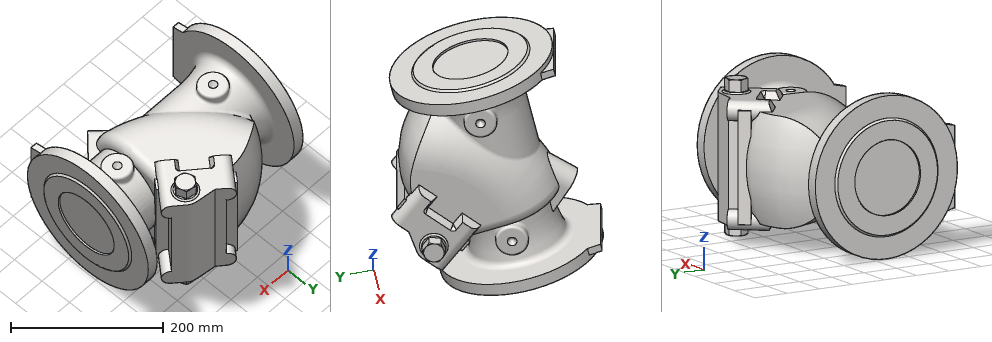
import cadquery as cq
import math

LENGTH = 300.0

FLANGE_DIA = 220.0
FLANGE_THICK = 17.0
FACE_DIA = 159.5
FACE_HEIGHT = 3.0
FACE_CHAMFER = 2.7
PORT_DIA = 101.7
PORT_DEPTH = 3.0
FOOT_THICK = 10.2
FOOT_WIDTH = 111.0
FOOT_SIDE_ANGLE = 13.0
FOOT_HEIGHT = 30.0

PIPE_RADIUS = 59.7
NECK_START = 82.5
NECK_END = 122.0
NECK_RADIUS = 65.5
FLANGE_FILLET = 10.2

BOSS_X = 91.0
BOSS_TOP = 71.0
BOSS_RADIUS = 21.5
BOSS_ROUND = 3.3
BOSS_BASE_FILLET = 3.5
BOSS_HOLE_DIA = 12.5
BOSS_HOLE_DEPTH = BOSS_HOLE_DIA / 2

SWING_X = 79.5
SWING_Y = 123.0
SWING_RADIUS = 125.7
CHAMBER_HALF = 75.5
SWEEP_START = 201.0
SWEEP_END = 265.0
WALL_FILLET = 15.0
CHAMBER_ROOT_FILLET = 6.0
CROWN_X = -7.8
CROWN_Y = 19.2
CROWN_RADIUS = 108.0
CROWN_EDGE_RADIUS = 92.5
CROWN_REACH = 90.0

BOLT_X = 65.7
BOLT_Y = 99.5
BONNET_ANGLE = -40.0
BONNET_LEFT = -67.2
BONNET_RIGHT = 34.5
BONNET_HALF = 86.7
LUG_WIDTH = 27.0
LUG_LOW_TOP = 3.0
LUG_STEP = -39.0
LUG_BOTTOM = -57.0
LUG_CHAMFER_RUN = 6.0
NOTCH_LEFT = -37.2
NOTCH_RIGHT = 3.5
NOTCH_TOP = -37.2
NOTCH_FLARE = 26.0
HINGE_RADIUS = 24.0
CORE_INSET = 13.5
JOINT_OVERHANG = 3.0
JOINT_BOTTOM = -29.0
JOINT_TOP = -12.0
JOINT_HALF = 76.8

BOLT_FLATS = 27.0
BOLT_TOP = 105.3
HEAD_TURN = 30.0
HEAD_CHAMFER_ANGLE = 30.0
WASHER_DIA = 37.8
WASHER_TOP_DIA = 32.5
WASHER_THICK = 1.8

DRAIN_TIP_X = 43.8
DRAIN_TIP_Y = -99.3
DRAIN_RADIUS = 21.3
DRAIN_ANGLE = -45.0
DRAIN_LENGTH = 60.0
DRAIN_DEPTH = 54.0

HALF_LENGTH = LENGTH / 2
FLANGE_OUTER = HALF_LENGTH - FACE_HEIGHT
FLANGE_INNER = FLANGE_OUTER - FLANGE_THICK
FLANGE_RADIUS = FLANGE_DIA / 2


def pipe_run():
    """Pipe, necks, flanges and raised faces as one turned body about X."""
    face_radius = FACE_DIA / 2
    neck_foot = NECK_RADIUS + FLANGE_FILLET
    half = (
        cq.Workplane("XY")
        .lineTo(0, PIPE_RADIUS)
        .lineTo(NECK_START, PIPE_RADIUS)
        .tangentArcPoint((NECK_END, NECK_RADIUS), relative=False)
        .tangentArcPoint((FLANGE_INNER, neck_foot), relative=False)
        .lineTo(FLANGE_INNER, FLANGE_RADIUS)
        .lineTo(FLANGE_OUTER, FLANGE_RADIUS)
        .lineTo(FLANGE_OUTER, face_radius)
        .lineTo(HALF_LENGTH, face_radius - FACE_CHAMFER)
        .lineTo(HALF_LENGTH, PORT_DIA / 2)
        .lineTo(HALF_LENGTH - PORT_DEPTH, PORT_DIA / 2)
        .lineTo(HALF_LENGTH - PORT_DEPTH, 0)
        .close()
        .revolve(360, (0, 0, 0), (1, 0, 0))
    )
    return half.union(half.mirror("YZ"))


def flange_feet():
    """Flat-bottomed foot at the inner side of each flange."""
    half_bottom = FOOT_WIDTH / 2
    half_top = half_bottom + FOOT_HEIGHT * math.tan(math.radians(FOOT_SIDE_ANGLE))
    foot = (
        cq.Workplane("YZ", origin=(FLANGE_INNER, 0, 0))
        .polyline([
            (-FLANGE_RADIUS, -half_bottom),
            (-FLANGE_RADIUS, half_bottom),
            (FOOT_HEIGHT - FLANGE_RADIUS, half_top),
            (FOOT_HEIGHT - FLANGE_RADIUS, -half_top),
        ])
        .close()
        .extrude(FOOT_THICK)
    )
    return foot.union(foot.mirror("YZ"))


def direction(angle):
    """Horizontal unit vector at an angle in degrees from +X."""
    return cq.Vector(math.cos(math.radians(angle)), math.sin(math.radians(angle)), 0)


def rim_section(angle):
    """Half section of the chamber in the vertical plane at the given angle."""
    plane = cq.Plane(origin=(SWING_X, SWING_Y, 0), xDir=direction(angle), normal=direction(angle - 90))
    return (
        cq.Workplane(plane)
        .moveTo(0, -CHAMBER_HALF)
        .lineTo(SWING_RADIUS, -CHAMBER_HALF)
        .threePointArc((SWING_RADIUS + CHAMBER_HALF, 0), (SWING_RADIUS, CHAMBER_HALF))
        .lineTo(0, CHAMBER_HALF)
        .close()
    )


def chamber():
    """Swept sector, straight back portion closed by the crown, cut off at the joint."""
    sector = rim_section(SWEEP_START).revolve(SWEEP_END - SWEEP_START, (0, 0, 0), (0, 1, 0))
    swing_center = cq.Vector(SWING_X, SWING_Y, 0)
    wall_point = swing_center + direction(SWEEP_END) * SWING_RADIUS
    wall = sector.faces(cq.selectors.NearestToPointSelector(wall_point.toTuple()))
    rim_edges = [edge for edge in wall.edges().vals() if (edge.Center() - swing_center).Length > WALL_FILLET]
    sector = wall.newObject(rim_edges).fillet(WALL_FILLET)

    crown = (
        cq.Workplane("XZ", origin=(CROWN_X, CROWN_Y, 0))
        .moveTo(0, -CHAMBER_HALF)
        .lineTo(CROWN_EDGE_RADIUS, -CHAMBER_HALF)
        .threePointArc((CROWN_RADIUS, 0), (CROWN_EDGE_RADIUS, CHAMBER_HALF))
        .lineTo(0, CHAMBER_HALF)
        .close()
        .revolve(360, (0, 0, 0), (0, 1, 0))
    )
    back = rim_section(SWEEP_START).extrude(CROWN_REACH).intersect(crown)
    joint_side = bonnet_prism(
        [(-LENGTH, -LENGTH), (LENGTH, -LENGTH), (LENGTH, JOINT_TOP), (-LENGTH, JOINT_TOP)], CHAMBER_HALF)
    return sector.union(back).intersect(joint_side)


def drain_boss():
    """D-ended boss whose flat face is inclined at 45 degrees."""
    plane = cq.Plane(origin=(DRAIN_TIP_X, DRAIN_TIP_Y, 0),
                     xDir=direction(DRAIN_ANGLE + 90), normal=direction(DRAIN_ANGLE))
    return (
        cq.Workplane(plane)
        .moveTo(DRAIN_RADIUS, DRAIN_RADIUS)
        .threePointArc((0, 0), (DRAIN_RADIUS, -DRAIN_RADIUS))
        .lineTo(DRAIN_LENGTH, -DRAIN_RADIUS)
        .lineTo(DRAIN_LENGTH, DRAIN_RADIUS)
        .close()
        .extrude(-DRAIN_DEPTH)
    )


def bonnet_plane(height):
    """Horizontal plane with x along the bonnet joint and y out of it."""
    return cq.Plane(origin=(BOLT_X, BOLT_Y, height), xDir=direction(BONNET_ANGLE), normal=(0, 0, 1))


def bonnet_prism(points, half_height):
    """Upright prism, symmetric about mid height, from points in the bonnet frame."""
    return cq.Workplane(bonnet_plane(-half_height)).polyline(points).close().extrude(2 * half_height)


def cover_outline(left, right, bottom):
    """Stepped cover outline with the hinge eye rounded about the bolt."""
    step_length = math.hypot(LUG_STEP, LUG_LOW_TOP)
    tangent_angle = math.atan2(LUG_LOW_TOP, LUG_STEP) - math.acos(HINGE_RADIUS / step_length)
    middle_angle = (tangent_angle + math.pi / 2) / 2

    def eye(angle):
        return HINGE_RADIUS * math.cos(angle), HINGE_RADIUS * math.sin(angle)

    return (
        cq.Workplane(bonnet_plane(0))
        .moveTo(left, bottom)
        .lineTo(left, LUG_LOW_TOP)
        .lineTo(LUG_STEP, LUG_LOW_TOP)
        .lineTo(*eye(tangent_angle))
        .threePointArc(eye(middle_angle), eye(math.pi / 2))
        .lineTo(right, HINGE_RADIUS)
        .lineTo(right, bottom)
        .close()
    )


def lug():
    """Upper side lug: rounded ends, notched foot with a sloping lower edge."""
    body = cover_outline(BONNET_LEFT, BONNET_RIGHT, LUG_BOTTOM).extrude(LUG_WIDTH)
    body = body.translate((0, 0, BONNET_HALF - LUG_WIDTH))
    out_direction = direction(BONNET_ANGLE + 90)
    end_plane = cq.Plane(origin=(BOLT_X, BOLT_Y, BONNET_HALF - LUG_WIDTH / 2),
                         xDir=direction(BONNET_ANGLE), normal=out_direction)
    rounded_ends = (
        cq.Workplane(end_plane)
        .center((BONNET_LEFT + BONNET_RIGHT) / 2, 0)
        .slot2D(BONNET_RIGHT - BONNET_LEFT, LUG_WIDTH)
        .extrude(LENGTH, both=True)
    )
    body = body.intersect(rounded_ends)

    notch = (
        cq.Workplane(bonnet_plane(CHAMBER_HALF))
        .polyline([
            (NOTCH_LEFT, 2 * LUG_BOTTOM),
            (NOTCH_LEFT, NOTCH_TOP),
            (NOTCH_RIGHT, NOTCH_TOP),
            (NOTCH_RIGHT, 2 * LUG_BOTTOM),
        ])
        .close()
        .extrude(BONNET_HALF - CHAMBER_HALF, taper=-NOTCH_FLARE)
    )
    body = body.cut(notch)

    slope_plane = cq.Plane(origin=(BOLT_X, BOLT_Y, 0), xDir=out_direction, normal=direction(BONNET_ANGLE))
    slope = (
        cq.Workplane(slope_plane)
        .polyline([
            (LUG_BOTTOM, CHAMBER_HALF),
            (LUG_BOTTOM + LUG_CHAMFER_RUN, BONNET_HALF),
            (LUG_BOTTOM, BONNET_HALF),
        ])
        .close()
        .extrude(LENGTH, both=True)
    )
    return body.cut(slope)


def bonnet():
    """Two side lugs joined by a set-back core and the joint flange."""
    upper = lug()
    core = cover_outline(BONNET_LEFT + CORE_INSET, BONNET_RIGHT - CORE_INSET, NOTCH_TOP)
    core = core.extrude(BONNET_HALF - LUG_WIDTH, both=True)
    left = BONNET_LEFT - JOINT_OVERHANG
    right = BONNET_RIGHT + JOINT_OVERHANG
    joint = bonnet_prism(
        [(left, JOINT_BOTTOM), (right, JOINT_BOTTOM), (right, JOINT_TOP), (left, JOINT_TOP)], JOINT_HALF)
    return core.union(joint).union(upper).union(upper.mirror("XY"))


def hinge_bolt():
    """Washer face and hexagon head at each end of the hinge pin."""
    pin = cq.Vector(BOLT_X, BOLT_Y, BONNET_HALF)
    up = cq.Vector(0, 0, 1)
    washer = cq.Workplane(cq.Solid.makeCone(WASHER_DIA / 2, WASHER_TOP_DIA / 2, WASHER_THICK, pin, up))
    head_height = BOLT_TOP - BONNET_HALF
    across_corners = BOLT_FLATS / math.cos(math.pi / 6)
    head = (
        cq.Workplane(bonnet_plane(BONNET_HALF))
        .transformed(rotate=(0, 0, HEAD_TURN))
        .polygon(6, across_corners)
        .extrude(head_height)
    )
    cone_base = BOLT_FLATS / 2 + head_height / math.tan(math.radians(HEAD_CHAMFER_ANGLE))
    head = head.intersect(cq.Workplane(cq.Solid.makeCone(cone_base, BOLT_FLATS / 2, head_height, pin, up)))
    bolt = washer.union(head)
    return bolt.union(bolt.mirror("XY"))


def neck_bosses():
    """Four round bosses, above and below each neck."""
    boss = cq.Workplane("XY").circle(BOSS_RADIUS).extrude(BOSS_TOP).faces(">Z").edges().fillet(BOSS_ROUND)
    left = boss.translate((-BOSS_X, 0, 0))
    pair = left.union(left.mirror("YZ"))
    return pair.union(pair.mirror("XY"))


def boss_holes():
    """Conical hole in the top of each boss."""
    cone = cq.Solid.makeCone(0, BOSS_HOLE_DIA / 2, BOSS_HOLE_DEPTH)
    left = cq.Workplane(cone).translate((-BOSS_X, 0, BOSS_TOP - BOSS_HOLE_DEPTH))
    pair = left.union(left.mirror("YZ"))
    return pair.union(pair.mirror("XY"))


def round_boss_bases(body):
    """Round the inside corner where each boss meets its neck."""
    reach = BOSS_RADIUS + BOSS_BASE_FILLET
    seams = [
        edge for edge in body.edges().vals()
        if edge.geomType() == "BSPLINE" and abs(abs(edge.Center().x) - BOSS_X) < reach
    ]
    return body.newObject(seams).fillet(BOSS_BASE_FILLET)


def round_chamber_root(body):
    """Round the long seam where the chamber grows out of the inlet pipe."""
    curves = [edge for edge in body.edges().vals() if edge.geomType() == "BSPLINE" and edge.Center().x < 0]
    seam = max(curves, key=lambda edge: edge.Length())
    return body.newObject([seam]).fillet(CHAMBER_ROOT_FILLET)


pipe = round_boss_bases(pipe_run().union(neck_bosses()))
casing = round_chamber_root(pipe.union(chamber()))
result = (
    casing
    .union(flange_feet())
    .union(drain_boss())
    .union(bonnet())
    .union(hinge_bolt())
    .cut(boss_holes())
)